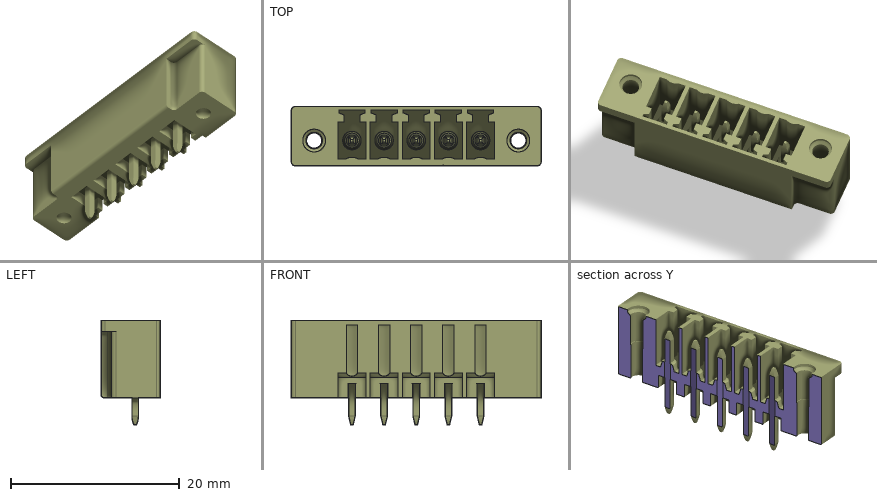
import cadquery as cq
import math


PIN_COUNT = 5
PITCH = 3.81
PIN_XS = [(i - (PIN_COUNT - 1) / 2) * PITCH for i in range(PIN_COUNT)]

LENGTH = 29.64
WIDTH = 7.05
HEIGHT = 9.2
FRONT_Y = -3.0
REAR_Y = FRONT_Y + WIDTH
CORNER_R = 0.5

FLANGE_T = 1.35
FLANGE_Z = HEIGHT - FLANGE_T
WING_REAR_Y = 2.78
REAR_BLOCK_LENGTH = 20.0
REAR_BOTTOM_R = 0.4

SCREW_X = 12.1
SCREW_HOLE_D = 1.8
SCREW_BORE_D = 1.96
SCREW_LEDGE_Z = HEIGHT / 2
SCREW_RIM_D = 2.7
SCREW_RIM_DEPTH = 0.35
SCREW_CONE_DEPTH = 0.32

SOCKET_HALF_X = 1.65
SOCKET_HALF_Y = 2.19
NECK_HALF_X = 0.94
NECK_END_Y = 3.03
HEAD_HALF_X = 1.56
HEAD_START_Y = 3.28
HEAD_END_Y = 3.62
SOCKET_FLOOR_Z = 3.0

BOSS_BASE_R = 1.1
BOSS_SHOULDER_R = 0.87
BOSS_TOP_R = 0.67
BOSS_SHOULDER_H = 0.8
BOSS_CAP_H = 0.08
BOSS_TOP_H = BOSS_SHOULDER_H + BOSS_CAP_H

GROOVE_WIDTH = 1.34
GROOVE_DEPTH = 0.38
GROOVE_R = (GROOVE_WIDTH ** 2 / 4 + GROOVE_DEPTH ** 2) / (2 * GROOVE_DEPTH)
GROOVE_AXIS_Y = FRONT_Y + GROOVE_DEPTH - GROOVE_R
GROOVE_TOP_GAP = 0.54
GROOVE_TOP_Z = HEIGHT - GROOVE_TOP_GAP
BULGE_WALL_T = 0.64
BULGE_R = GROOVE_R + BULGE_WALL_T

RECESS_HALF_X = SOCKET_HALF_X
RECESS_TOP_Z = 2.95
RECESS_DEPTH = 0.55

NOTCH_WIDTH = 0.9
NOTCH_HEIGHT = 1.7
NOTCH_WALL_T = 0.7
POCKET_FRONT_Y = FRONT_Y + RECESS_DEPTH + NOTCH_WALL_T
POCKET_REAR_Y = -POCKET_FRONT_Y
POCKET_LENGTH = 2.6

PIN_SIZE = 0.8
PIN_BOTTOM_Z = -3.2
PIN_TOP_Z = 7.93
TAPER_LENGTH = 1.06
TIP_SIZE = 0.3


def box(x0, x1, y0, y1, z0, z1):
    return cq.Workplane("XY").box(x1 - x0, y1 - y0, z1 - z0, centered=False).translate((x0, y0, z0))


def cylinder(x, y, radius, z0, z1):
    return cq.Workplane("XY", origin=(x, y, z0)).circle(radius).extrude(z1 - z0)


def housing_block():
    """Rounded block whose ends are narrower below the flange."""
    half = LENGTH / 2
    flange = box(-half, half, FRONT_Y, REAR_Y, FLANGE_Z, HEIGHT).edges("|Z").fillet(CORNER_R)
    block_half = REAR_BLOCK_LENGTH / 2
    body = (
        cq.Workplane("XY")
        .polyline([
            (-half, FRONT_Y),
            (half, FRONT_Y),
            (half, WING_REAR_Y),
            (block_half, WING_REAR_Y),
            (block_half, REAR_Y),
            (-block_half, REAR_Y),
            (-block_half, WING_REAR_Y),
            (-half, WING_REAR_Y),
        ])
        .close()
        .extrude(FLANGE_Z)
    )
    upright = cq.selectors.ParallelDirSelector(cq.Vector(0, 0, 1))
    rear_corners = cq.selectors.BoxSelector(
        (-LENGTH, REAR_Y - CORNER_R, 0), (LENGTH, REAR_Y + CORNER_R, FLANGE_Z)
    )
    body = body.edges(cq.selectors.SubtractSelector(upright, rear_corners)).fillet(CORNER_R)
    body = body.faces(">Y").edges("<Z").fillet(REAR_BOTTOM_R)
    return body.union(flange)


def screw_hole(x):
    """Through hole that widens upward in turn to a bore, a conical seat and a short rim."""
    hole_r = SCREW_HOLE_D / 2
    bore_r = SCREW_BORE_D / 2
    rim_r = SCREW_RIM_D / 2
    seat_z = HEIGHT - SCREW_RIM_DEPTH
    cone_z = seat_z - SCREW_CONE_DEPTH
    return (
        cq.Workplane("XZ")
        .polyline([
            (0, 0),
            (hole_r, 0),
            (hole_r, SCREW_LEDGE_Z),
            (bore_r, SCREW_LEDGE_Z),
            (bore_r, cone_z),
            (rim_r, seat_z),
            (rim_r, HEIGHT),
            (0, HEIGHT),
        ])
        .close()
        .revolve(360, (0, 0), (0, 1))
        .translate((x, 0, 0))
    )


def boss(x):
    return (
        cq.Workplane("XZ")
        .polyline([
            (0, 0),
            (BOSS_BASE_R, 0),
            (BOSS_SHOULDER_R, BOSS_SHOULDER_H),
            (BOSS_TOP_R, BOSS_TOP_H),
            (0, BOSS_TOP_H),
        ])
        .close()
        .revolve(360, (0, 0), (0, 1))
        .translate((x, 0, SOCKET_FLOOR_Z))
    )


def socket(x):
    """T-shaped cavity, less the bulge in its front wall and the boss on its floor."""
    right_side = [
        (SOCKET_HALF_X, -SOCKET_HALF_Y),
        (SOCKET_HALF_X, SOCKET_HALF_Y),
        (NECK_HALF_X, SOCKET_HALF_Y),
        (NECK_HALF_X, NECK_END_Y),
        (HEAD_HALF_X, HEAD_START_Y),
        (HEAD_HALF_X, HEAD_END_Y),
    ]
    left_side = [(-px, py) for px, py in reversed(right_side)]
    cavity = (
        cq.Workplane("XY", origin=(x, 0, SOCKET_FLOOR_Z))
        .polyline(right_side + left_side)
        .close()
        .extrude(HEIGHT - SOCKET_FLOOR_Z)
    )
    bulge = cylinder(x, GROOVE_AXIS_Y, BULGE_R, SOCKET_FLOOR_Z, HEIGHT)
    return cavity.cut(bulge).cut(boss(x))


def front_recess(x):
    back_y = FRONT_Y + RECESS_DEPTH
    return (
        cq.Workplane("YZ", origin=(x - RECESS_HALF_X, 0, 0))
        .polyline([
            (FRONT_Y, 0), (back_y, 0), (back_y, RECESS_TOP_Z - RECESS_DEPTH), (FRONT_Y, RECESS_TOP_Z),
        ])
        .close()
        .extrude(2 * RECESS_HALF_X)
    )


def underside_pocket(x):
    """Pocket round the pin in the underside, reached from the front by a notch."""
    pocket_half = POCKET_LENGTH / 2
    notch_half = NOTCH_WIDTH / 2
    pocket = box(x - pocket_half, x + pocket_half, POCKET_FRONT_Y, POCKET_REAR_Y, 0, NOTCH_HEIGHT)
    notch = box(x - notch_half, x + notch_half, FRONT_Y, POCKET_FRONT_Y, 0, NOTCH_HEIGHT)
    return pocket.union(notch)


def pin(x):
    """Square pin whose ends narrow along straight slopes in X and along arcs in Y."""
    half = PIN_SIZE / 2
    tip = TIP_SIZE / 2
    low_z = PIN_BOTTOM_Z + TAPER_LENGTH
    high_z = PIN_TOP_Z - TAPER_LENGTH
    sloped_bar = (
        cq.Workplane("XZ")
        .polyline([
            (half, low_z),
            (half, high_z),
            (tip, PIN_TOP_Z),
            (-tip, PIN_TOP_Z),
            (-half, high_z),
            (-half, low_z),
            (-tip, PIN_BOTTOM_Z),
            (tip, PIN_BOTTOM_Z),
        ])
        .close()
        .extrude(half, both=True)
    )

    inset = half - tip
    taper_r = (TAPER_LENGTH ** 2 + inset ** 2) / (2 * inset)
    mid_angle = math.asin(TAPER_LENGTH / taper_r) / 2
    mid_y = half - taper_r * (1 - math.cos(mid_angle))
    mid_rise = taper_r * math.sin(mid_angle)
    curved_bar = (
        cq.Workplane("YZ")
        .moveTo(half, low_z)
        .lineTo(half, high_z)
        .threePointArc((mid_y, high_z + mid_rise), (tip, PIN_TOP_Z))
        .lineTo(-tip, PIN_TOP_Z)
        .threePointArc((-mid_y, high_z + mid_rise), (-half, high_z))
        .lineTo(-half, low_z)
        .threePointArc((-mid_y, low_z - mid_rise), (-tip, PIN_BOTTOM_Z))
        .lineTo(tip, PIN_BOTTOM_Z)
        .threePointArc((mid_y, low_z - mid_rise), (half, low_z))
        .close()
        .extrude(half, both=True)
    )
    return sloped_bar.intersect(curved_bar).translate((x, 0, 0))


def pin_hole(x):
    half = PIN_SIZE / 2
    return box(x - half, x + half, -half, half, 0, HEIGHT)


def build_housing():
    housing = housing_block()
    for x in (-SCREW_X, SCREW_X):
        housing = housing.cut(screw_hole(x))
    for x in PIN_XS:
        housing = housing.cut(socket(x))
        housing = housing.cut(cylinder(x, GROOVE_AXIS_Y, GROOVE_R, 0, GROOVE_TOP_Z))
        housing = housing.cut(front_recess(x))
        housing = housing.cut(underside_pocket(x))
        housing = housing.cut(pin_hole(x))
    return housing


housing = build_housing()
pins = [pin(x) for x in PIN_XS]

result = cq.Compound.makeCompound([housing.solids().val(), *[p.solids().val() for p in pins]])